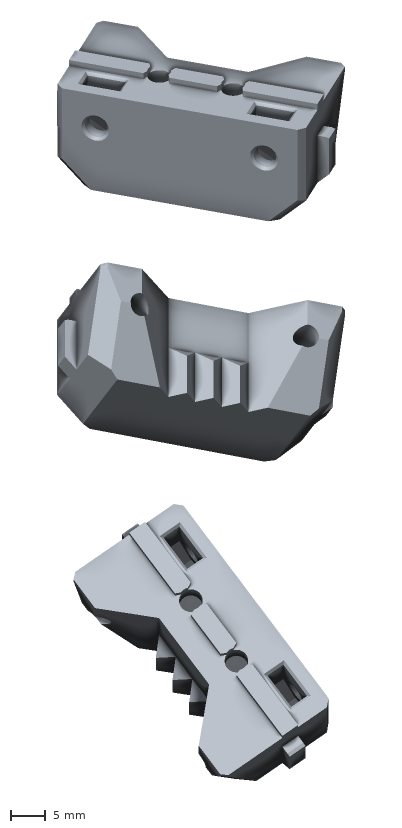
import cadquery as cq
import math

body_width = 37.7
body_depth = 19.35
overall_height = 17.35
ridge_height = 1.0
body_height = overall_height - ridge_height
half_width = body_width / 2
lower_corner = 4.0
front_chamfer = 1.0

upright_back = 6.0
slope_run = 4.45
slope_edge_chamfer = 2.85
slope_rise = body_height - upright_back
slope_angle = math.atan2(slope_run, slope_rise)

back_corner_y = 0.87
back_corner_x = back_corner_y * math.cos(slope_angle)

notch_floor_width = 12.32
notch_depth = 6.6
notch_floor_y = body_depth - notch_depth
half_notch_floor = notch_floor_width / 2
half_notch_mouth = half_notch_floor + notch_depth
tooth_count = 3
tooth_pitch = notch_floor_width / tooth_count
tooth_height = tooth_pitch / 2
tooth_root_z = body_height / 2
tooth_embed = 1.0

key_thickness = 2.8
key_y = 7.5
key_front_y = key_y - key_thickness / 2
key_span = 41.27
half_key_span = key_span / 2
key_top_z = body_height - 4.35
key_lead_length = 0.55
key_lead_drop = 0.15
ridge_gap = 3.95
ridge_gap_angle = 26

pin_diameter = 3.4
pin_spacing = 11.2
pin_length = body_height - 3.0
pin_x_positions = (-pin_spacing / 2, pin_spacing / 2)

bolt_hole_diameter = 3.4
bolt_spacing = 25.6
bolt_x_positions = (-bolt_spacing / 2, bolt_spacing / 2)
bolt_z = body_height - 5.75
opening_chamfer = 0.4
nut_width = 5.8
nut_thickness = 2.8
nut_y = 3.67


def make_block():
    """Block with its lower side corners cut and its front rim chamfered, except at top and bottom."""
    outline = [
        (-half_width, body_height),
        (-half_width, lower_corner),
        (-half_width + lower_corner, 0),
        (half_width - lower_corner, 0),
        (half_width, lower_corner),
        (half_width, body_height),
    ]
    block = cq.Workplane("XZ").polyline(outline).close().extrude(-body_depth)
    return block.faces("<Y").edges("not(<Z or >Z)").chamfer(front_chamfer)


def make_slope_cutter():
    """Wedge that leaves the sloping lower back."""
    return (
        cq.Workplane("YZ")
        .moveTo(body_depth, slope_rise)
        .lineTo(body_depth - slope_run, 0)
        .lineTo(body_depth, 0)
        .close()
        .extrude(half_width, both=True)
    )


def make_slope_edge_cutter(side):
    """Diamond prism running down the slope's edge on one side (-1 or 1) to chamfer it."""
    edge_start = cq.Vector(side * half_width, body_depth, slope_rise)
    down_slope = cq.Vector(0, -math.sin(slope_angle), -math.cos(slope_angle))
    plane = cq.Plane(origin=edge_start, xDir=(1, 0, 0), normal=down_slope)
    diamond = [
        (-slope_edge_chamfer, 0),
        (0, -slope_edge_chamfer),
        (slope_edge_chamfer, 0),
        (0, slope_edge_chamfer),
    ]
    return cq.Workplane(plane).polyline(diamond).close().extrude(overall_height, both=True)


def make_back_corner_cutter(side):
    """Upright triangular prism that chamfers the back corner on one side (-1 or 1)."""
    return (
        cq.Workplane("XY")
        .moveTo(side * half_width, body_depth)
        .lineTo(side * (half_width - back_corner_x), body_depth)
        .lineTo(side * half_width, body_depth - back_corner_y)
        .close()
        .extrude(body_height)
    )


def make_notch_cutter():
    outline = [
        (-half_notch_floor, notch_floor_y),
        (half_notch_floor, notch_floor_y),
        (half_notch_mouth, body_depth),
        (-half_notch_mouth, body_depth),
    ]
    return cq.Workplane("XY").polyline(outline).close().extrude(body_height)


def make_teeth():
    """Row of upright V-shaped teeth whose tops slope down at 45 degrees from the notch floor."""
    outline = [(-half_notch_floor, notch_floor_y)]
    for index in range(tooth_count):
        tooth_start = -half_notch_floor + index * tooth_pitch
        outline.append((tooth_start + tooth_pitch / 2, notch_floor_y + tooth_height))
        outline.append((tooth_start + tooth_pitch, notch_floor_y))
    outline.append((half_notch_floor, notch_floor_y - tooth_embed))
    outline.append((-half_notch_floor, notch_floor_y - tooth_embed))
    teeth = cq.Workplane("XY").polyline(outline).close().extrude(tooth_root_z)
    top_cutter = (
        cq.Workplane("YZ")
        .moveTo(notch_floor_y, tooth_root_z)
        .lineTo(notch_floor_y + tooth_height, tooth_root_z)
        .lineTo(notch_floor_y + tooth_height, tooth_root_z - tooth_height)
        .close()
        .extrude(half_notch_floor, both=True)
    )
    return teeth.cut(top_cutter)


def make_side_keys():
    """Plate through the block whose ends stick out as keys, on the same 45 degree line below."""
    key_low_z = lower_corner + half_key_span - half_width
    outline = [
        (-half_key_span, key_low_z),
        (-half_width + lower_corner, 0),
        (half_width - lower_corner, 0),
        (half_key_span, key_low_z),
        (half_key_span, key_top_z - key_lead_drop),
        (half_key_span - key_lead_length, key_top_z),
        (-half_key_span + key_lead_length, key_top_z),
        (-half_key_span, key_top_z - key_lead_drop),
    ]
    return (
        cq.Workplane("XZ", origin=(0, key_front_y, 0))
        .polyline(outline)
        .close()
        .extrude(-key_thickness)
    )


def make_ridge():
    """Ridge along the top, opened at each pin hole by a gap that narrows to the middle."""
    half_gap = ridge_gap / 2
    half_key = key_thickness / 2
    half_waist = half_gap - half_key * math.tan(math.radians(ridge_gap_angle))
    gap_outline = [
        (-half_gap, -half_key),
        (half_gap, -half_key),
        (half_waist, 0),
        (half_gap, half_key),
        (-half_gap, half_key),
        (-half_waist, 0),
    ]
    base = cq.Workplane("XY", origin=(0, key_y, body_height))
    ridge = base.rect(body_width, key_thickness).extrude(ridge_height)
    for x in pin_x_positions:
        ridge = ridge.cut(base.center(x, 0).polyline(gap_outline).close().extrude(ridge_height))
    return ridge


def make_bolt_cutter(x):
    """Through hole along Y with a chamfered front opening."""
    radius = bolt_hole_diameter / 2
    front_center = cq.Vector(x, 0, bolt_z)
    hole = cq.Solid.makeCylinder(radius, body_depth, front_center, cq.Vector(0, 1, 0))
    opening = cq.Solid.makeCone(
        radius + opening_chamfer, radius, opening_chamfer, front_center, cq.Vector(0, 1, 0)
    )
    return cq.Workplane(hole).union(cq.Workplane(opening))


def make_nut_cutter(x):
    """Slot from the top for a hexagon nut: upright flats, a pointed floor and a chamfered mouth."""
    half_nut = nut_width / 2
    shoulder_z = bolt_z - half_nut * math.tan(math.radians(30))
    point_z = bolt_z - half_nut / math.cos(math.radians(30))
    slot = (
        cq.Workplane("XZ", origin=(x, nut_y - nut_thickness / 2, 0))
        .moveTo(-half_nut, body_height)
        .lineTo(-half_nut, shoulder_z)
        .lineTo(0, point_z)
        .lineTo(half_nut, shoulder_z)
        .lineTo(half_nut, body_height)
        .close()
        .extrude(-nut_thickness)
    )
    mouth = (
        cq.Workplane("XY", origin=(x, nut_y, body_height))
        .rect(nut_width + 2 * opening_chamfer, nut_thickness + 2 * opening_chamfer)
        .extrude(-opening_chamfer, taper=45)
    )
    return slot.union(mouth)


def make_pin_shape(x, length):
    """Upright cylinder from the underside, used for a pin and for its hole."""
    return cq.Workplane("XY", origin=(x, key_y, 0)).circle(pin_diameter / 2).extrude(length)


def make_housing():
    housing = make_block().cut(make_slope_cutter())
    for side in (-1, 1):
        housing = housing.cut(make_slope_edge_cutter(side)).cut(make_back_corner_cutter(side))
    housing = housing.cut(make_notch_cutter())
    housing = housing.union(make_teeth()).union(make_side_keys()).union(make_ridge())
    for x in bolt_x_positions:
        housing = housing.cut(make_bolt_cutter(x)).cut(make_nut_cutter(x))
    for x in pin_x_positions:
        housing = housing.cut(make_pin_shape(x, overall_height))
    return housing


housing = make_housing()
pins = [make_pin_shape(x, pin_length) for x in pin_x_positions]

result = cq.Compound.makeCompound([housing.val(), *[pin.val() for pin in pins]])